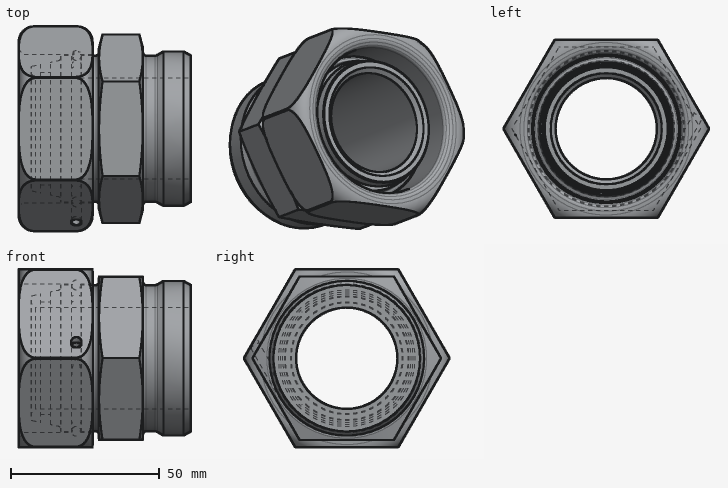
import cadquery as cq
import math

nut_length = 25.0
nut_flats = 60.0
nut_corner_diameter = 69.0
nut_corner_round = 5.45
nut_bore_diameter = 50.0
mouth_radius = 27.1
mouth_slope = 30.0
mouth_round = 2.35
mouth_bore_round = 1.3

wire_x = 19.45
wire_diameter = 3.3
wire_ring_diameter = 49.3
wire_hole_diameter = 3.5
wire_hole_reach = 31.05
wire_hole_wide_length = 11.7
wire_hole_angle = 60.0

body_length = 58.0
tip_x = 4.15
bore_diameter = 34.0
bore_chamfer_width = 1.65
bore_chamfer_length = 1.5
tip_diameter = 41.95
tip_chamfer = 0.3
cone_half_angle = 12.0
seal_groove_start = 7.4
seal_groove_width = 3.4
seal_groove_diameter = 37.95
shoulder_x = 14.15
shoulder_diameter = 48.9
shoulder_fillet = 1.0

neck_diameter = 49.3
neck_fillet = 1.0
hex_start = 27.0
hex_end = 41.95
hex_flats = 55.0
hex_face_diameter = 53.8
hex_chamfer_angle = 15.0
relief_fillet = 1.4
thread_start = 46.4
thread_diameter = 52.0
ramp_angle = 30.0
end_chamfer_length = 2.5

clearance = 6.9
edge_margin = 0.1

bore_radius = bore_diameter / 2
neck_radius = neck_diameter / 2


def tangent(degrees):
    return math.tan(math.radians(degrees))


def revolve_profile(points):
    """Turn a closed outline of (x, radius) points about the X axis."""
    return cq.Workplane("XY").polyline(points).close().revolve(360, (0, 0, 0), (1, 0, 0))


def cylinder(start, length, diameter):
    return cq.Workplane("YZ", origin=(start, 0, 0)).circle(diameter / 2).extrude(length)


def hexagon(start, length, flats):
    """Hexagonal bar along X with corners on the Y axis."""
    across_corners = flats / math.cos(math.pi / 6)
    return cq.Workplane("YZ", origin=(start, 0, 0)).polygon(6, across_corners).extrude(length)


def circle_edge(x, radius):
    """Selector for the circular edge of this radius at this x, centred on the axis."""
    reach = radius + edge_margin
    return cq.selectors.BoxSelector(
        (x - edge_margin, -reach, -reach), (x + edge_margin, reach, reach), True
    )


def make_wire():
    """Round wire bent to a full ring, half in the nut and half in the body."""
    ring = cq.Solid.makeTorus(
        wire_ring_diameter / 2, wire_diameter / 2, cq.Vector(wire_x, 0, 0), cq.Vector(1, 0, 0)
    )
    return cq.Workplane(ring)


def make_nut_bore():
    """Cutting tool for the through bore and its rounded conical mouth."""
    bore = nut_bore_diameter / 2
    mouth_depth = (mouth_radius - bore) * tangent(mouth_slope)
    plug = revolve_profile([
        (-clearance, 0),
        (-clearance, mouth_radius + clearance),
        (0, mouth_radius + clearance),
        (0, mouth_radius),
        (mouth_depth, bore),
        (nut_length, bore),
        (nut_length, 0),
    ])
    plug = plug.edges(circle_edge(0, mouth_radius)).fillet(mouth_round)
    return plug.edges(circle_edge(mouth_depth, bore)).fillet(mouth_bore_round)


def make_wire_hole():
    """Stepped hole that runs tangentially from a nut flat into the wire ring."""
    angle = math.radians(wire_hole_angle)
    inward = cq.Vector(0, math.cos(angle), -math.sin(angle))
    outward_normal = cq.Vector(0, -math.sin(angle), -math.cos(angle))
    tangent_point = cq.Vector(wire_x, 0, 0) + outward_normal * (wire_ring_diameter / 2)
    mouth = tangent_point - inward * wire_hole_reach
    narrow = cq.Solid.makeCylinder(wire_diameter / 2, wire_hole_reach, mouth, inward)
    wide = cq.Solid.makeCylinder(wire_hole_diameter / 2, wire_hole_wide_length, mouth, inward)
    return cq.Workplane(narrow).union(cq.Workplane(wide))


def make_nut():
    envelope = cylinder(0, nut_length, nut_corner_diameter).edges().fillet(nut_corner_round)
    nut = hexagon(0, nut_length, nut_flats).intersect(envelope)
    nut = nut.cut(make_nut_bore())
    nut = nut.cut(make_wire_hole())
    return nut.cut(make_wire())


def make_cone_end():
    """Sealing cone, shoulder and neck, up to the hexagon."""
    tip_radius = tip_diameter / 2
    shoulder_radius = shoulder_diameter / 2
    cone_start = tip_x + tip_chamfer
    cone_end_radius = tip_radius + (shoulder_x - cone_start) * tangent(cone_half_angle)
    cone_end = revolve_profile([
        (tip_x, 0),
        (tip_x, tip_radius - tip_chamfer),
        (cone_start, tip_radius),
        (shoulder_x, cone_end_radius),
        (shoulder_x, shoulder_radius),
        (shoulder_x + neck_radius - shoulder_radius, neck_radius),
        (hex_start, neck_radius),
        (hex_start, 0),
    ])
    return cone_end.edges(circle_edge(shoulder_x, cone_end_radius)).fillet(shoulder_fillet)


def make_body_hexagon():
    """Hexagon with its corners chamfered on both faces."""
    face_radius = hex_face_diameter / 2
    outer_radius = hex_flats
    chamfer_length = (outer_radius - face_radius) * tangent(hex_chamfer_angle)
    envelope = revolve_profile([
        (hex_start, 0),
        (hex_start, face_radius),
        (hex_start + chamfer_length, outer_radius),
        (hex_end - chamfer_length, outer_radius),
        (hex_end, face_radius),
        (hex_end, 0),
    ])
    return hexagon(hex_start, hex_end - hex_start, hex_flats).intersect(envelope)


def make_threaded_end():
    """Relief, ramp and plain thread cylinder with a chamfered end."""
    thread_radius = thread_diameter / 2
    ramp_length = (thread_radius - neck_radius) / tangent(ramp_angle)
    threaded_end = revolve_profile([
        (hex_end, 0),
        (hex_end, neck_radius),
        (thread_start, neck_radius),
        (thread_start + ramp_length, thread_radius),
        (body_length - end_chamfer_length, thread_radius),
        (body_length, neck_radius),
        (body_length, 0),
    ])
    return threaded_end.edges(circle_edge(thread_start, neck_radius)).fillet(relief_fillet)


def make_body_bore():
    """Cutting tool for the through bore and its chamfer at the tip."""
    chamfer = revolve_profile([
        (tip_x, 0),
        (tip_x, bore_radius + bore_chamfer_width),
        (tip_x + bore_chamfer_length, bore_radius),
        (tip_x + bore_chamfer_length, 0),
    ])
    return cylinder(0, body_length, bore_diameter).union(chamfer)


def make_seal_groove():
    """Cutting tool for the groove around the sealing cone."""
    outer = cylinder(seal_groove_start, seal_groove_width, neck_diameter)
    return outer.cut(cylinder(seal_groove_start, seal_groove_width, seal_groove_diameter))


def make_body():
    body = make_cone_end().union(make_body_hexagon()).union(make_threaded_end())
    for hex_face_x in (hex_start, hex_end):
        body = body.edges(circle_edge(hex_face_x, neck_radius)).fillet(neck_fillet)
    body = body.cut(make_body_bore())
    body = body.cut(make_seal_groove())
    return body.cut(make_wire())


nut = make_nut()
body = make_body()
wire = make_wire()

result = cq.Compound.makeCompound([nut.val(), body.val(), wire.val()])